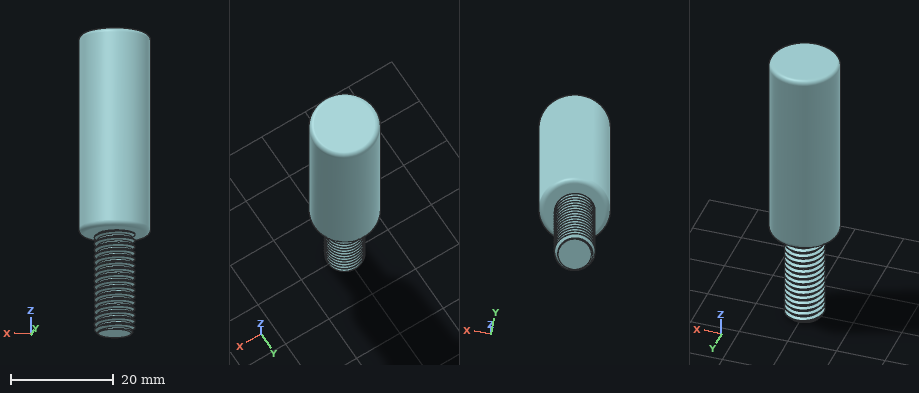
import cadquery as cq
import math

total_length = 60.0
body_length = 40.0
body_diameter = 14.0
edge_radius = 1.0
thread_diameter = 8.0
root_diameter = 6.65
end_face_diameter = 6.5
thread_turns = 16
flank_angle = 30.0
crest_flat_ratio = 1 / 8
root_overlap = 0.05
trim_clearance = 1.2

stud_length = total_length - body_length
pitch = stud_length / thread_turns
thread_radius = thread_diameter / 2
root_radius = root_diameter / 2
end_face_radius = end_face_diameter / 2


def make_body():
    """Plain cylinder standing on the stud, rounded at both ends."""
    body = cq.Workplane("XY").workplane(offset=stud_length)
    body = body.circle(body_diameter / 2).extrude(body_length)
    return body.edges().fillet(edge_radius)


def make_thread_ridge():
    """Right-handed ridge with a crest on the -X side at the free end, Z = 0."""
    crest_half_width = pitch * crest_flat_ratio / 2
    base_radius = root_radius - root_overlap
    base_half_width = crest_half_width + (thread_radius - base_radius) * math.tan(math.radians(flank_angle))

    helix = cq.Wire.makeHelix(pitch, stud_length + 2 * pitch, root_radius)
    ridge_profile = cq.Workplane("XZ").polyline(
        [
            (base_radius, -base_half_width),
            (thread_radius, -crest_half_width),
            (thread_radius, crest_half_width),
            (base_radius, base_half_width),
        ]
    ).close()
    ridge = ridge_profile.sweep(cq.Workplane(obj=helix), isFrenet=True)
    return ridge.rotate((0, 0, 0), (0, 0, 1), 180).translate((0, 0, -pitch))


def make_end_trim():
    """Envelope with a 45 degree cone at the free end, ending inside the body."""
    trim_radius = thread_radius + trim_clearance
    cone_height = trim_radius - end_face_radius
    return (
        cq.Workplane("XZ")
        .polyline(
            [
                (0, 0),
                (end_face_radius, 0),
                (trim_radius, cone_height),
                (trim_radius, stud_length + pitch),
                (0, stud_length + pitch),
            ]
        )
        .close()
        .revolve(360, (0, 0), (0, 1))
    )


def make_stud():
    """Threaded stud with a chamfered free end, its upper end sunk into the body."""
    core = cq.Workplane("XY").workplane(offset=-2 * pitch)
    core = core.circle(root_radius).extrude(stud_length + 4 * pitch)
    return core.union(make_thread_ridge()).intersect(make_end_trim())


result = make_body().union(make_stud())